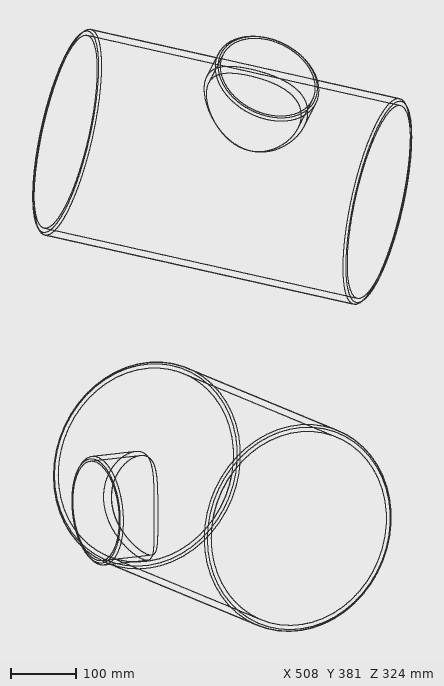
import cadquery as cq

run_length = 508.0
run_diameter = 324.0
run_wall = 10.0

branch_diameter = 168.0
branch_wall = 7.0
branch_reach = 219.0

bevel = 3.5


def bar_along_x(diameter):
    """Solid bar centred on the origin, as long as the main pipe."""
    return cq.Workplane("YZ").circle(diameter / 2).extrude(run_length / 2, both=True)


def bar_along_y(diameter):
    """Solid bar from the main axis out to the branch end face."""
    return cq.Workplane("XZ").circle(diameter / 2).extrude(-branch_reach)


run = bar_along_x(run_diameter).faces("<X or >X").chamfer(bevel)
branch = bar_along_y(branch_diameter).faces(">Y").chamfer(bevel)

run_bore = bar_along_x(run_diameter - 2 * run_wall)
branch_bore = bar_along_y(branch_diameter - 2 * branch_wall)

result = run.union(branch).cut(run_bore).cut(branch_bore)